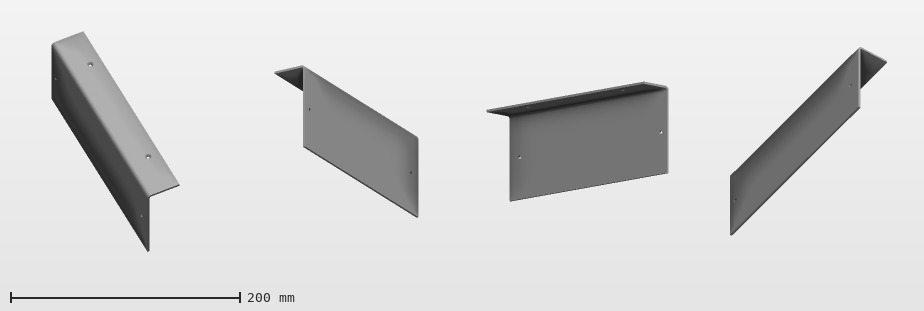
import cadquery as cq

length = 191.0
flange_depth = 31.0
height = 77.0
thickness = 2.0
inner_bend_radius = 2.0
outer_bend_radius = inner_bend_radius + thickness

face_hole_diameter = 3.4
face_hole_spacing = 171.0
face_hole_left_margin = 8.0
face_hole_drop = 40.0

flange_hole_diameter = 2.7
countersink_diameter = 5.7
countersink_angle = 90.0
flange_hole_spacing = 115.0
flange_hole_back_margin = 11.0


def make_bent_sheet():
    """L-shaped sheet, upright face at Y = 0, top flange at Z = height, centred on X = 0."""
    sheet = (
        cq.Workplane("YZ")
        .moveTo(0, 0)
        .lineTo(0, height)
        .lineTo(flange_depth, height)
        .lineTo(flange_depth, height - thickness)
        .lineTo(thickness, height - thickness)
        .lineTo(thickness, 0)
        .close()
        .extrude(length / 2, both=True)
    )
    inner_corner = cq.selectors.NearestToPointSelector((0, thickness, height - thickness))
    outer_corner = cq.selectors.NearestToPointSelector((0, 0, height))
    sheet = sheet.edges(inner_corner).fillet(inner_bend_radius)
    return sheet.edges(outer_corner).fillet(outer_bend_radius)


def drill_face_holes(sheet):
    left_x = -length / 2 + face_hole_left_margin
    hole_z = height - face_hole_drop
    hole_points = [(left_x, hole_z), (left_x + face_hole_spacing, hole_z)]
    drills = (
        cq.Workplane("XZ")
        .pushPoints(hole_points)
        .circle(face_hole_diameter / 2)
        .extrude(-thickness)
    )
    return sheet.cut(drills)


def drill_flange_holes(sheet):
    hole_y = flange_depth - flange_hole_back_margin
    middle_x = -length / 2 + face_hole_left_margin + face_hole_spacing / 2
    hole_points = [(middle_x + side * flange_hole_spacing / 2, hole_y) for side in (-1, 1)]
    return (
        sheet.faces(">Z")
        .workplane(origin=(0, 0, height))
        .pushPoints(hole_points)
        .cskHole(flange_hole_diameter, countersink_diameter, countersink_angle)
    )


result = drill_flange_holes(drill_face_holes(make_bent_sheet()))